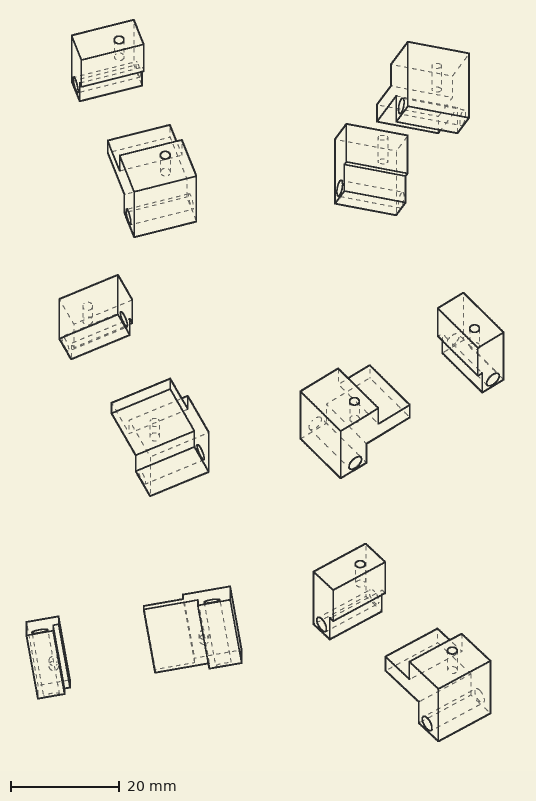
import cadquery as cq

total_length = 38.0
depth = 12.0
height = 13.7

cross_hole_diameter = 2.93
cross_hole_height = 1.95
top_hole_diameter = 1.8
top_hole_depth = 5.0
top_hole_y = depth * 2 / 3

plain_top_width = 6.0
plain_foot_width = 4.98
plain_foot_height = 5.62
plain_cross_hole_x = 2.5
plain_top_hole_x = 3.65

arm_tip_x = 21.85
arm_bottom = 5.5
arm_top = 9.15
head_left_x = 29.2
arm_foot_left_x = 31.95
arm_cross_hole_x = 34.58
arm_top_hole_x = 31.65


def extrude_profile(points):
    """Extrude a closed XZ outline from the front face (Y = 0) to the back."""
    return cq.Workplane("XZ").polyline(points).close().extrude(-depth)


def cross_hole(x):
    """Cutter for the hole running through a foot along Y."""
    return cq.Workplane("XZ").center(x, cross_hole_height).circle(cross_hole_diameter / 2).extrude(-depth)


def top_hole(x):
    """Cutter for the blind hole going down from the top face."""
    top_plane = cq.Workplane("XY", origin=(x, top_hole_y, height))
    return top_plane.circle(top_hole_diameter / 2).extrude(-top_hole_depth)


def make_plain_block():
    """Block whose foot is slightly narrower than its top."""
    outline = [
        (0, 0),
        (plain_foot_width, 0),
        (plain_foot_width, plain_foot_height),
        (plain_top_width, plain_foot_height),
        (plain_top_width, height),
        (0, height),
    ]
    block = extrude_profile(outline)
    return block.cut(cross_hole(plain_cross_hole_x)).cut(top_hole(plain_top_hole_x))


def make_arm_block():
    """Block with a flat arm projecting toward the plain block."""
    outline = [
        (total_length, 0),
        (total_length, height),
        (head_left_x, height),
        (head_left_x, arm_top),
        (arm_tip_x, arm_top),
        (arm_tip_x, arm_bottom),
        (arm_foot_left_x, arm_bottom),
        (arm_foot_left_x, 0),
    ]
    block = extrude_profile(outline)
    return block.cut(cross_hole(arm_cross_hole_x)).cut(top_hole(arm_top_hole_x))


plain_block = make_plain_block()
arm_block = make_arm_block()

result = cq.Compound.makeCompound([plain_block.val(), arm_block.val()])